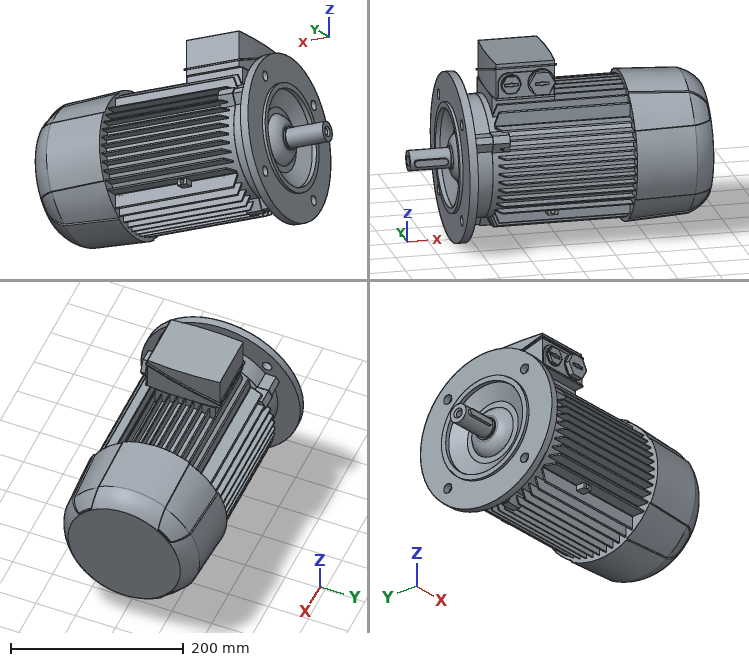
import cadquery as cq
import math


shaft_radius = 12.0
shaft_length = 50.0
collar_radius = 14.0
collar_front_x = -1.5
key_width = 8.0
key_length = 40.0
key_top = 15.0
key_end_gap = 4.5
centre_hole_radius = 4.2
centre_sink_radius = 6.2
centre_hole_depth = 20.0

flange_radius = 100.0
flange_thickness = 10.0
spigot_radius = 65.0
spigot_height = 3.5
bolt_circle_radius = 82.5
bolt_hole_diameter = 12.0
recess_rim_radius = 58.5
recess_rim_x = 2.0
recess_floor_radius = 38.6
recess_depth = 12.0
hub_radius = 31.0
hub_nose_radius = 16.7
hub_nose_x = 0.5
hub_bulge = 2.5

shield_radius = 72.3
shield_joint_x = 34.0
bracket_radius = 72.0
lug_count = 3
lug_end_x = 54.0
lug_height = 84.3
lug_tip_half_width = 4.8
lug_side_angle = 30.0
lug_root_height = 65.0
lug_neck_inset = 1.3

fin_tip_radius = 84.0
fin_root_radius = 73.0
fin_pitch = 10.0
fins_per_half = 5
fin_thickness = 1.6
fin_start_x = 41.0
fin_taper_length = 5.5

cowl_start_x = 202.0
cowl_shoulder_x = 274.0
cowl_end_x = 297.0
cowl_mouth_radius = 89.0
cowl_shoulder_radius = 85.2
cowl_end_radius = 70.5
cowl_dome_rise = 1.8
corner_step = 1.7
corner_rim = 1.5
corner_offset = 42.0

box_length = 74.0
box_center_x = fin_start_x + box_length / 2
box_front_y = -48.6
box_back_y = 42.4
box_width = box_back_y - box_front_y
box_center_y = (box_front_y + box_back_y) / 2
box_top_z = 126.0
box_base_z = 82.7
base_plate_thickness = 2.3
base_plate_overhang = 2.5
body_inset = 2.2
neck_half_width = 38.0
lip_front_z = 121.5
lip_back_z = 91.5
lip_thickness = 1.8
lip_overhang = 1.4
side_bulge = 2.2

entry_z = 101.3
entry_pad_depth = 2.0
entry_pad_left_x = 45.3
entry_pad_right_x = 112.0
entry_pad_top_z = 115.0
entry_pad_corner = 13.0
small_plug_x = 60.2
small_plug_radius = 11.7
small_plug_height = 4.0
large_plug_x = 96.2
large_plug_radius = 15.7
large_plug_height = 7.0
plug_rim_height = 1.0
plug_slot_length = 16.0
plug_slot_width = 3.0
plug_slot_depth = 1.0
plug_dimple_radius = 2.4

earth_x = 107.5
earth_size_x = 12.0
earth_size_z = 7.0
earth_height = 12.6
earth_hole_diameter = 5.0


def x_cylinder(radius, x_start, x_end):
    """Cylinder on the shaft axis between two X positions."""
    return cq.Workplane("YZ").workplane(offset=x_start).circle(radius).extrude(x_end - x_start)


def box_between(x0, x1, y0, y1, z0, z1):
    """Axis-aligned block given by its limits."""
    return cq.Workplane("XY").box(x1 - x0, y1 - y0, z1 - z0, centered=False).translate((x0, y0, z0))


def revolve_about_x(profile):
    """Full turn of a closed XY profile about the shaft axis."""
    return profile.close().revolve(360, (0, 0, 0), (1, 0, 0))


def make_flange():
    flange = x_cylinder(flange_radius, 0, flange_thickness)
    flange = flange.union(x_cylinder(spigot_radius, -spigot_height, flange_thickness))
    bolts = (
        cq.Workplane("YZ")
        .polarArray(bolt_circle_radius, 45, 360, 4)
        .circle(bolt_hole_diameter / 2)
        .extrude(flange_thickness)
    )
    return flange.cut(bolts)


def make_recess():
    """Dished opening around the shaft: short rim, cone, flat floor and a rounded hub."""
    bulge_shift = hub_bulge * math.sqrt(0.5)
    hub_mid = (
        (recess_depth + hub_nose_x) / 2 - bulge_shift,
        (hub_radius + hub_nose_radius) / 2 + bulge_shift,
    )
    profile = (
        cq.Workplane("XY")
        .moveTo(-spigot_height, 0)
        .lineTo(-spigot_height, recess_rim_radius)
        .lineTo(recess_rim_x, recess_rim_radius)
        .lineTo(recess_depth, recess_floor_radius)
        .lineTo(recess_depth, hub_radius)
        .threePointArc(hub_mid, (hub_nose_x, hub_nose_radius))
        .lineTo(hub_nose_x, 0)
    )
    return revolve_about_x(profile)


def make_shaft():
    shaft = x_cylinder(shaft_radius, -shaft_length, recess_depth)
    shaft = shaft.union(x_cylinder(collar_radius, collar_front_x, recess_depth))
    key = (
        cq.Workplane("XZ")
        .center(-shaft_length + key_end_gap + key_length / 2, 0)
        .slot2D(key_length, key_width)
        .extrude(key_top)
    )
    hole = x_cylinder(centre_hole_radius, -shaft_length, -shaft_length + centre_hole_depth)
    sink_depth = centre_sink_radius - centre_hole_radius
    sink = (
        cq.Workplane("YZ")
        .workplane(offset=-shaft_length)
        .circle(centre_sink_radius)
        .workplane(offset=sink_depth)
        .circle(centre_hole_radius)
        .loft()
    )
    return shaft.union(key).cut(hole).cut(sink)


def make_lug(x_start, x_end, inset):
    """Lug on the underside of the shield, narrowing outwards; the inset slims it on all faces."""
    slope = math.tan(math.radians(lug_side_angle))
    side_shift = inset / math.cos(math.radians(lug_side_angle))
    tip = lug_height - inset
    tip_half = lug_tip_half_width + inset * slope - side_shift
    root_half = tip_half + (tip - lug_root_height) * slope
    outline = [
        (-root_half, -lug_root_height),
        (root_half, -lug_root_height),
        (tip_half, -tip),
        (-tip_half, -tip),
    ]
    return cq.Workplane("YZ").workplane(offset=x_start).polyline(outline).close().extrude(x_end - x_start)


def make_shield():
    """Flange bracket and end shield with evenly spaced lugs, one of them at the bottom."""
    shield = x_cylinder(bracket_radius, flange_thickness, shield_joint_x)
    shield = shield.union(x_cylinder(shield_radius, shield_joint_x, cowl_start_x))
    neck = make_lug(flange_thickness, shield_joint_x, lug_neck_inset)
    lug = neck.union(make_lug(shield_joint_x, lug_end_x, 0))
    for index in range(lug_count):
        shield = shield.union(lug.rotate((0, 0, 0), (1, 0, 0), index * 360 / lug_count))
    return shield


def make_housing():
    """Upright and level fins trimmed to one tapered round envelope, with an earth terminal each side."""
    corner = fins_per_half * fin_pitch
    fins = None
    for index in range(-fins_per_half, fins_per_half + 1):
        low = index * fin_pitch - fin_thickness / 2
        high = low + fin_thickness
        upright = box_between(fin_start_x, cowl_start_x, low, high, -fin_tip_radius, fin_tip_radius)
        level = box_between(fin_start_x, cowl_start_x, -fin_tip_radius, fin_tip_radius, low, high)
        pair = upright.union(level)
        fins = pair if fins is None else fins.union(pair)
    envelope = revolve_about_x(
        cq.Workplane("XY")
        .moveTo(fin_start_x, 0)
        .lineTo(fin_start_x, fin_root_radius)
        .lineTo(fin_start_x + fin_taper_length, fin_tip_radius)
        .lineTo(cowl_start_x, fin_tip_radius)
        .lineTo(cowl_start_x, 0)
    )
    earth = box_between(
        earth_x - earth_size_x / 2,
        earth_x + earth_size_x / 2,
        -corner - earth_height,
        -corner,
        -corner - fin_thickness / 2 - earth_size_z,
        -corner,
    )
    earth = earth.faces("<Y").workplane(centerOption="CenterOfBoundBox").hole(earth_hole_diameter, earth_height)
    return fins.intersect(envelope).union(earth).union(earth.mirror("XZ"))


def cowl_body(inset):
    """Tapered cowl with a domed rear, its outer surface moved inwards by the inset."""
    dome_mid_x = (cowl_shoulder_x + cowl_end_x) / 2 + cowl_dome_rise / 2
    dome_mid_radius = (cowl_shoulder_radius + cowl_end_radius) / 2 + cowl_dome_rise - inset
    profile = (
        cq.Workplane("XY")
        .moveTo(cowl_start_x, 0)
        .lineTo(cowl_start_x, cowl_mouth_radius - inset)
        .lineTo(cowl_shoulder_x, cowl_shoulder_radius - inset)
        .threePointArc((dome_mid_x, dome_mid_radius), (cowl_end_x, cowl_end_radius - inset))
        .lineTo(cowl_end_x, 0)
    )
    return revolve_about_x(profile)


def make_cowl():
    """Cowl whose four diagonal sectors lie one small step below the rest."""
    cowl = cowl_body(0)
    skin = cowl.cut(cowl_body(corner_step))
    near = corner_offset
    far = cowl_mouth_radius
    for y_limits in ((near, far), (-far, -near)):
        for z_limits in ((near, far), (-far, -near)):
            sector = box_between(cowl_start_x, cowl_end_x - corner_rim, *y_limits, *z_limits)
            cowl = cowl.cut(skin.intersect(sector))
    return cowl


def lip_z(y):
    """Height of the sloping parting lip's top face at a given Y."""
    return lip_front_z + (lip_back_z - lip_front_z) * (y - box_front_y) / box_width


def sloped_slab(depth):
    """Wide slab under the sloping parting plane, with the given vertical depth."""
    front = box_front_y - box_width
    back = box_back_y + box_width
    corners = [
        (front, lip_z(front)),
        (back, lip_z(back)),
        (back, lip_z(back) - depth),
        (front, lip_z(front) - depth),
    ]
    return cq.Workplane("YZ").polyline(corners).close().extrude(box_length, both=True).translate((box_center_x, 0, 0))


def bowed_prism(side_inset, overhang):
    """Full-height terminal box prism with bowed sides, inset sideways and extended front and back."""
    left = box_center_x - box_length / 2 + side_inset
    right = box_center_x + box_length / 2 - side_inset
    front = box_front_y - overhang
    back = box_back_y + overhang
    return (
        cq.Workplane("XY")
        .workplane(offset=box_base_z)
        .moveTo(left, front)
        .lineTo(right, front)
        .threePointArc((right + side_bulge, box_center_y), (right, back))
        .lineTo(left, back)
        .threePointArc((left - side_bulge, box_center_y), (left, front))
        .close()
        .extrude(box_top_z - box_base_z)
    )


def make_terminal_box():
    """Bowed box body with a sloping parting lip, on a flat base plate and a narrower neck."""
    left = box_center_x - box_length / 2
    right = box_center_x + box_length / 2
    body = bowed_prism(body_inset, 0)
    lip = bowed_prism(0, lip_overhang).intersect(sloped_slab(lip_thickness))
    plate = box_between(
        left + body_inset,
        right - body_inset,
        box_front_y - base_plate_overhang,
        box_back_y,
        box_base_z,
        box_base_z + base_plate_thickness,
    )
    neck = box_between(left, right, -neck_half_width, neck_half_width, 0, box_base_z)
    return body.union(lip).union(plate).union(neck)


def front_plane(height):
    """Sketch plane parallel to the box front, at a height outside it; extrusions go outwards."""
    return cq.Workplane("XZ", origin=(0, box_front_y - height, 0))


def make_plug(x, radius, height):
    """Hexagonal blanking plug on a thin round rim, with a screwdriver slot and a centre dimple."""
    rim = front_plane(entry_pad_depth).center(x, entry_z).circle(radius).extrude(plug_rim_height)
    plug = front_plane(entry_pad_depth).center(x, entry_z).polygon(6, 2 * radius).extrude(height)
    slot = (
        front_plane(entry_pad_depth + height)
        .center(x, entry_z)
        .rect(plug_slot_length, plug_slot_width)
        .extrude(-plug_slot_depth)
    )
    dimple = (
        front_plane(entry_pad_depth + height)
        .center(x, entry_z)
        .circle(plug_dimple_radius)
        .extrude(-plug_slot_depth)
    )
    return rim.union(plug).cut(slot).cut(dimple)


def make_cable_entries():
    pad = box_between(
        entry_pad_left_x,
        entry_pad_right_x,
        box_front_y - entry_pad_depth,
        box_front_y,
        box_base_z + base_plate_thickness,
        entry_pad_top_z,
    )
    pad = pad.edges("|Y and >Z").fillet(entry_pad_corner)
    large_seat = front_plane(0).center(large_plug_x, entry_z).circle(large_plug_radius).extrude(entry_pad_depth)
    small_plug = make_plug(small_plug_x, small_plug_radius, small_plug_height)
    large_plug = make_plug(large_plug_x, large_plug_radius, large_plug_height)
    return pad.union(large_seat).union(small_plug).union(large_plug)


front_end = make_flange().union(make_shield()).cut(make_recess()).union(make_shaft())
motor = front_end.union(make_housing()).union(make_cowl())
result = motor.union(make_terminal_box()).union(make_cable_entries())